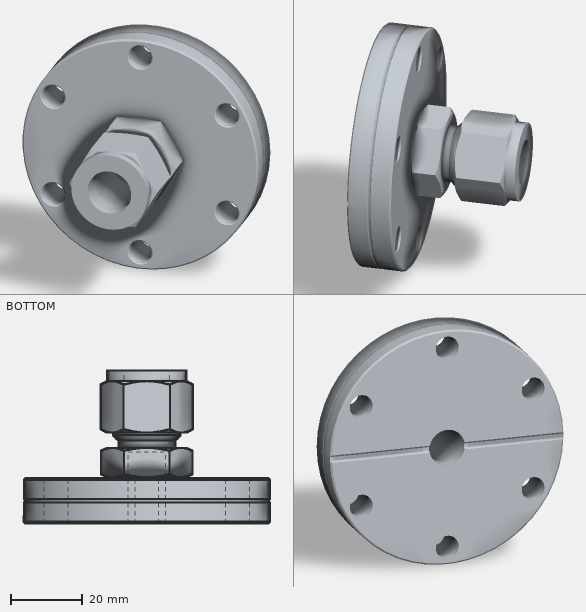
import cadquery as cq
import math


flange_diameter = 69.1
flange_thickness = 12.7
rim_chamfer = 0.5
rim_groove_width = 1.05
rim_groove_depth = 0.35

bolt_count = 6
first_bolt_angle = 90.0
bolt_circle_diameter = 58.75
bolt_hole_diameter = 6.7
bolt_hole_chamfer = 0.35

leak_groove_depth = 0.55
leak_groove_floor_width = 1.05
leak_groove_mouth_width = leak_groove_floor_width + 2 * leak_groove_depth

through_bore_diameter = 10.4
tube_socket_diameter = 12.7
tube_socket_depth = 22.9

body_hex_across_flats = 22.25
body_hex_chamfer_length = 0.8
nut_hex_across_flats = 22.4
nut_hex_chamfer_length = 1.0
stub_diameter = 21.35
neck_diameter = 16.0
shoulder_diameter = 19.1
end_collar_diameter = 22.3

stub_length = 0.3
body_hex_length = 8.2
neck_length = 2.1
shoulder_cone_length = (shoulder_diameter - neck_diameter) / 2
shoulder_length = 0.7
nut_hex_length = 14.45
end_collar_length = 3.05


def cylinder(diameter, start, length):
    """Round bar from `start` toward -Y, with `start` measured from the flange's front face."""
    return cq.Workplane("XZ").workplane(offset=start).circle(diameter / 2).extrude(length)


def cone(start_diameter, end_diameter, start, length):
    """Tapered round bar from `start` toward -Y."""
    return (
        cq.Workplane("XZ").workplane(offset=start).circle(start_diameter / 2)
        .workplane(offset=length).circle(end_diameter / 2)
        .loft(combine=True)
    )


def chamfered_hexagon(across_flats, chamfer_length, start, length):
    """Hexagon with two corners in the XY plane, both ends turned to a cone that meets the flats."""
    corner_radius = across_flats / math.sqrt(3)
    flat_radius = across_flats / 2
    hexagon = cq.Workplane("XZ").workplane(offset=start).polygon(6, 2 * corner_radius).extrude(length)
    end = start + length
    turned_envelope = (
        cq.Workplane("XY")
        .moveTo(0, -start)
        .lineTo(flat_radius, -start)
        .lineTo(corner_radius, -start - chamfer_length)
        .lineTo(corner_radius, -end + chamfer_length)
        .lineTo(flat_radius, -end)
        .lineTo(0, -end)
        .close()
        .revolve(360, (0, 0, 0), (0, 1, 0))
    )
    return hexagon.intersect(turned_envelope)


def flange_disc():
    """Disc with chamfered rims and a rounded groove around the middle of its edge."""
    radius = flange_diameter / 2
    middle = flange_thickness / 2
    return (
        cq.Workplane("XY")
        .moveTo(0, 0)
        .lineTo(radius - rim_chamfer, 0)
        .lineTo(radius, rim_chamfer)
        .lineTo(radius, middle - rim_groove_width / 2)
        .threePointArc((radius - rim_groove_depth, middle), (radius, middle + rim_groove_width / 2))
        .lineTo(radius, flange_thickness - rim_chamfer)
        .lineTo(radius - rim_chamfer, flange_thickness)
        .lineTo(0, flange_thickness)
        .close()
        .revolve(360, (0, 0, 0), (0, 1, 0))
    )


def bolt_hole_cutter(angle):
    """Through hole at `angle` degrees from +X, chamfered at the front face."""
    mouth_diameter = bolt_hole_diameter + 2 * bolt_hole_chamfer
    hole = cylinder(bolt_hole_diameter, -flange_thickness, flange_thickness)
    mouth = cone(bolt_hole_diameter, mouth_diameter, -bolt_hole_chamfer, bolt_hole_chamfer)
    x = bolt_circle_diameter / 2 * math.cos(math.radians(angle))
    z = bolt_circle_diameter / 2 * math.sin(math.radians(angle))
    return hole.union(mouth).translate((x, 0, z))


def leak_groove_cutter():
    """Trapezoidal groove along X across the back face."""
    floor = flange_thickness - leak_groove_depth
    return (
        cq.Workplane("YZ")
        .moveTo(floor, -leak_groove_floor_width / 2)
        .lineTo(flange_thickness, -leak_groove_mouth_width / 2)
        .lineTo(flange_thickness, leak_groove_mouth_width / 2)
        .lineTo(floor, leak_groove_floor_width / 2)
        .close()
        .extrude(flange_diameter / 2, both=True)
    )


def make_flange():
    body = flange_disc().cut(cylinder(through_bore_diameter, -flange_thickness, flange_thickness))
    for index in range(bolt_count):
        body = body.cut(bolt_hole_cutter(first_bolt_angle + index * 360 / bolt_count))
    return body.cut(leak_groove_cutter())


def make_fitting():
    """Tube fitting: stub, body hexagon, neck, shoulder, nut hexagon and end collar in a row."""
    body_hex_start = stub_length
    neck_start = body_hex_start + body_hex_length
    cone_start = neck_start + neck_length
    shoulder_start = cone_start + shoulder_cone_length
    nut_hex_start = shoulder_start + shoulder_length
    end_collar_start = nut_hex_start + nut_hex_length
    fitting_length = end_collar_start + end_collar_length

    body_hex = chamfered_hexagon(
        body_hex_across_flats, body_hex_chamfer_length, body_hex_start, body_hex_length
    )
    nut_hex = chamfered_hexagon(
        nut_hex_across_flats, nut_hex_chamfer_length, nut_hex_start, nut_hex_length
    )
    body = (
        cylinder(stub_diameter, 0, stub_length)
        .union(body_hex)
        .union(cylinder(neck_diameter, neck_start, neck_length))
        .union(cone(neck_diameter, shoulder_diameter, cone_start, shoulder_cone_length))
        .union(cylinder(shoulder_diameter, shoulder_start, shoulder_length))
        .union(nut_hex)
        .union(cylinder(end_collar_diameter, end_collar_start, end_collar_length))
    )
    through_bore = cylinder(through_bore_diameter, 0, fitting_length)
    tube_socket = cylinder(tube_socket_diameter, fitting_length - tube_socket_depth, tube_socket_depth)
    return body.cut(through_bore).cut(tube_socket)


flange = make_flange()
fitting = make_fitting()
result = cq.Compound.makeCompound([flange.val(), fitting.val()])